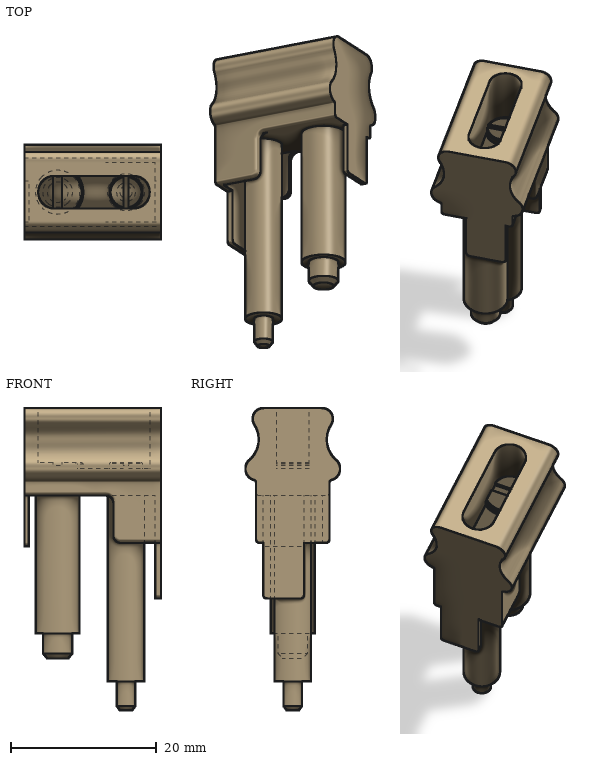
import cadquery as cq
import math

overall_height = 41.45
body_length = 18.75
body_width = 13.0
half_length = body_length / 2

top_bead_radius = 1.5
top_bead_center = 4.0
bead_end_drop = 0.8
bottom_bead_radius = 1.6
bottom_bead_center = body_width / 2 - bottom_bead_radius
bottom_bead_z = -8.35
bottom_bead_rise = 1.1
waist_half_width = 4.7
waist_z = -4.2

skirt_half_width = 5.05
skirt_bottom = -12.0
skirt_top = -8.3
step_x = 2.8
step_bottom = -18.5
step_corner_radius = 1.0
skirt_edge_radius = 0.5
underside_blend_radius = 0.3
side_wall = 1.0
end_wall = 0.83

leg_y_min = -4.05
leg_y_max = 1.55
leg_corner_radius = 0.5
left_leg_thickness = 0.62
left_leg_bottom = -19.0
right_leg_bottom = -26.1

slot_length = 15.3
slot_width = 4.48
slot_center_x = 0.15
slot_depth = 8.3

left_screw_x = -4.8
right_screw_x = 4.55
head_height = 0.83
groove_depth = 0.4


def box(x_min, x_max, y_min, y_max, z_min, z_max):
    size = (x_max - x_min, y_max - y_min, z_max - z_min)
    return cq.Workplane("XY").box(*size, centered=False).translate((x_min, y_min, z_min))


def make_grip():
    top_bead_z = -top_bead_radius
    neck_top_y = top_bead_center + math.sqrt(top_bead_radius**2 - bead_end_drop**2)
    neck_top_z = top_bead_z - bead_end_drop
    neck_bottom_y = bottom_bead_center + math.sqrt(bottom_bead_radius**2 - bottom_bead_rise**2)
    neck_bottom_z = bottom_bead_z + bottom_bead_rise
    bead_side_y = top_bead_center + top_bead_radius
    wall_offset = skirt_half_width - bottom_bead_center
    wall_z = bottom_bead_z - math.sqrt(bottom_bead_radius**2 - wall_offset**2)
    half = (
        cq.Workplane("YZ", origin=(-half_length, 0, 0))
        .lineTo(top_bead_center, 0)
        .threePointArc((bead_side_y, top_bead_z), (neck_top_y, neck_top_z))
        .threePointArc((waist_half_width, waist_z), (neck_bottom_y, neck_bottom_z))
        .threePointArc((body_width / 2, bottom_bead_z), (skirt_half_width, wall_z))
        .lineTo(0, wall_z)
        .close()
        .extrude(body_length)
    )
    return half.union(half.mirror("XZ"))


def make_skirt():
    outer = (
        cq.Workplane("XZ", origin=(0, skirt_half_width, 0))
        .moveTo(-half_length, skirt_top)
        .lineTo(half_length, skirt_top)
        .lineTo(half_length, step_bottom)
        .lineTo(step_x, step_bottom)
        .lineTo(step_x, skirt_bottom)
        .lineTo(-half_length, skirt_bottom)
        .close()
        .extrude(2 * skirt_half_width)
    )
    step_corners = cq.selectors.BoxSelector(
        (step_x - 0.4, -skirt_half_width, step_bottom - 0.4),
        (step_x + 0.4, skirt_half_width, skirt_bottom + 0.4),
    )
    outer = outer.edges("|Y").edges(step_corners).fillet(step_corner_radius)
    rim = cq.selectors.BoxSelector(
        (-half_length - 0.4, -skirt_half_width - 0.4, step_bottom - 0.4),
        (half_length + 0.4, skirt_half_width + 0.4, skirt_top - skirt_edge_radius),
    )
    outer = outer.faces("<Y or >Y").edges(rim).edges("not (<X or >X)").fillet(skirt_edge_radius)
    inner_half_width = skirt_half_width - side_wall
    cavity = box(
        step_x - step_corner_radius, half_length - end_wall,
        -inner_half_width, inner_half_width,
        step_bottom, skirt_bottom,
    )
    return outer.cut(cavity)


def make_leg(x_min, thickness, bottom):
    leg = box(x_min, x_min + thickness, leg_y_min, leg_y_max, bottom, skirt_top)
    return leg.edges("|X and <Z").fillet(leg_corner_radius)


def make_screw_shank(x, radius, shoulder_z, tip_radius, tip_z, chamfer_height, chamfer_width):
    return (
        cq.Workplane("XZ", origin=(x, 0, 0))
        .moveTo(0, -slot_depth)
        .lineTo(radius, -slot_depth)
        .lineTo(radius, shoulder_z)
        .lineTo(tip_radius, shoulder_z)
        .lineTo(tip_radius, tip_z + chamfer_height)
        .lineTo(tip_radius - chamfer_width, tip_z)
        .lineTo(0, tip_z)
        .close()
        .revolve(360, (0, 0, 0), (0, 1, 0))
    )


def make_screw_head(x, radius, chamfer, groove_width):
    head_top = head_height - slot_depth
    head = cq.Workplane("XY", origin=(x, 0, -slot_depth)).circle(radius).extrude(head_height)
    head = head.faces(">Z").chamfer(chamfer)
    half_groove = groove_width / 2
    groove = box(x - half_groove, x + half_groove, -radius, radius, head_top - groove_depth, head_top)
    return head.cut(groove)


access_slot = (
    cq.Workplane("XY", origin=(slot_center_x, 0, -slot_depth))
    .slot2D(slot_length, slot_width)
    .extrude(slot_depth)
)
access_slot = access_slot.cut(make_screw_head(left_screw_x, radius=3.52, chamfer=0.25, groove_width=1.25))
access_slot = access_slot.cut(make_screw_head(right_screw_x, radius=2.3, chamfer=0.15, groove_width=0.62))

left_shank = make_screw_shank(
    left_screw_x, radius=3.03, shoulder_z=-30.9,
    tip_radius=2.05, tip_z=-34.35, chamfer_height=0.75, chamfer_width=0.62,
)
right_shank = make_screw_shank(
    right_screw_x, radius=2.53, shoulder_z=-37.47,
    tip_radius=1.3, tip_z=-overall_height, chamfer_height=0.62, chamfer_width=0.45,
)

bead_bottom_z = bottom_bead_z - bottom_bead_radius
margin = 0.12
housing = make_grip().union(make_skirt())
for y in (-skirt_half_width, skirt_half_width):
    joint = cq.selectors.BoxSelector(
        (-half_length, y - margin, bead_bottom_z - margin),
        (half_length, y + margin, bead_bottom_z + margin),
    )
    housing = housing.edges("|X").edges(joint).fillet(underside_blend_radius)

result = (
    housing
    .union(make_leg(-half_length, left_leg_thickness, left_leg_bottom))
    .union(make_leg(half_length - end_wall, end_wall, right_leg_bottom))
    .union(left_shank)
    .union(right_shank)
    .cut(access_slot)
)